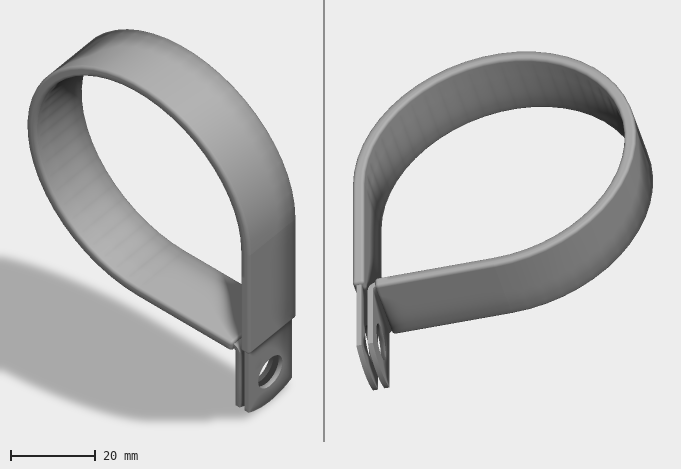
import cadquery as cq

outer_diameter = 69.1
overall_height = 88.5
cushion_width = 17.4
cushion_thickness = 2.8
cushion_edge_radius = 0.8
vertical_cushion_end = 32.4
horizontal_cushion_end = 29.1

strap_thickness = cushion_thickness - 2 * cushion_edge_radius
strap_width = cushion_width - 2 * cushion_edge_radius
bend_inner_radius = 0.9
bend_start = 28.8
tab_end_rise = 1.9
hole_diameter = 8.85
hole_height = 9.5

outer_radius = outer_diameter / 2
inner_radius = outer_radius - cushion_thickness
strap_radius = outer_radius - cushion_thickness / 2
strap_inner = strap_radius - strap_thickness / 2
strap_outer = strap_radius + strap_thickness / 2
bend_outer_radius = bend_inner_radius + strap_thickness
bent_tab_inner = bend_start + bend_inner_radius
bent_tab_outer = bend_start + bend_outer_radius
bend_end_z = -strap_outer - bend_inner_radius
bottom_z = outer_radius - overall_height
embed = 0.9


def extrude_across(profile, width):
    """Extrude an XZ profile symmetrically about the Y = 0 plane."""
    return profile.extrude(width / 2, both=True)


def arc_middle(radius):
    """Middle point of the three-quarter arc from +X over the top to -Z."""
    offset = radius / 2 ** 0.5
    return (-offset, offset)


def make_cushion():
    """Three-quarter loop with two tangent legs and rounded edges."""
    profile = (
        cq.Workplane("XZ")
        .moveTo(outer_radius, -vertical_cushion_end)
        .lineTo(outer_radius, 0)
        .threePointArc(arc_middle(outer_radius), (0, -outer_radius))
        .lineTo(horizontal_cushion_end, -outer_radius)
        .lineTo(horizontal_cushion_end, -inner_radius)
        .lineTo(0, -inner_radius)
        .threePointArc(arc_middle(inner_radius), (inner_radius, 0))
        .lineTo(inner_radius, -vertical_cushion_end)
        .close()
    )
    cushion = extrude_across(profile, cushion_width)
    side_edges = cushion.faces("<Y or >Y").edges()
    vertical_end = cq.selectors.NearestToPointSelector((strap_radius, 0, -vertical_cushion_end))
    horizontal_end = cq.selectors.NearestToPointSelector((horizontal_cushion_end, 0, -strap_radius))
    end_edges = cushion.faces(vertical_end).edges("|Y").add(cushion.faces(horizontal_end).edges("|Y"))
    return side_edges.add(end_edges).fillet(cushion_edge_radius)


def make_straight_tab():
    """Strap end continuing straight down from the vertical leg."""
    top_z = -vertical_cushion_end + embed
    profile = (
        cq.Workplane("XZ")
        .moveTo(strap_inner, bottom_z)
        .lineTo(strap_outer, bottom_z)
        .lineTo(strap_outer, top_z)
        .lineTo(strap_inner, top_z)
        .close()
    )
    return extrude_across(profile, strap_width)


def make_bent_tab():
    """Strap end turning down from the horizontal leg."""
    start_x = horizontal_cushion_end - embed
    profile = (
        cq.Workplane("XZ")
        .moveTo(start_x, -strap_inner)
        .lineTo(bend_start, -strap_inner)
        .radiusArc((bent_tab_outer, bend_end_z), bend_outer_radius)
        .lineTo(bent_tab_outer, bottom_z)
        .lineTo(bent_tab_inner, bottom_z)
        .lineTo(bent_tab_inner, bend_end_z)
        .radiusArc((bend_start, -strap_outer), -bend_inner_radius)
        .lineTo(start_x, -strap_outer)
        .close()
    )
    return extrude_across(profile, strap_width)


def make_tab_outline():
    """Block with a curved lower end and a bolt hole, used to trim both tabs."""
    half_width = strap_width / 2
    corner_z = bottom_z + tab_end_rise
    outline = (
        cq.Workplane("YZ")
        .moveTo(-half_width, 0)
        .lineTo(-half_width, corner_z)
        .threePointArc((0, bottom_z), (half_width, corner_z))
        .lineTo(half_width, 0)
        .close()
        .extrude(outer_radius)
    )
    hole = (
        cq.Workplane("YZ")
        .center(0, bottom_z + hole_height)
        .circle(hole_diameter / 2)
        .extrude(outer_radius)
    )
    return outline.cut(hole)


tabs = make_straight_tab().union(make_bent_tab()).intersect(make_tab_outline())
result = make_cushion().union(tabs)